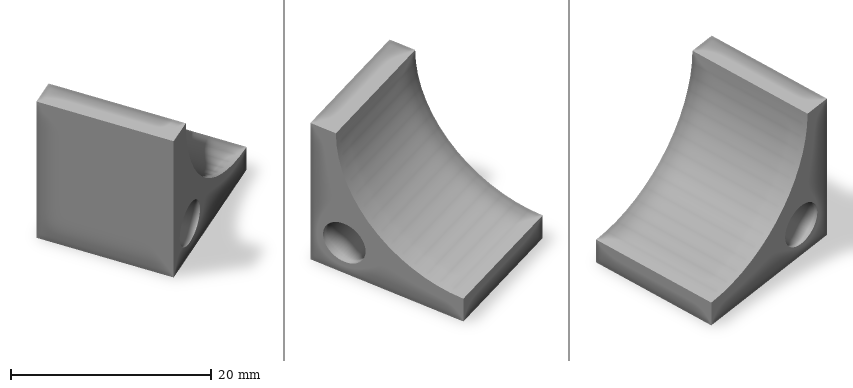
import cadquery as cq
import math

side = 18.0
width = 15.0
wall = 3.0
hole_diameter = 5.0
hole_inset = 4.0

cove_radius = side - wall
cove_middle = side - cove_radius * math.sqrt(0.5)

body = (
    cq.Workplane("YZ")
    .moveTo(0, 0)
    .lineTo(side, 0)
    .lineTo(side, wall)
    .threePointArc((cove_middle, cove_middle), (wall, side))
    .lineTo(0, side)
    .close()
    .extrude(width)
)

hole = (
    cq.Workplane("YZ")
    .center(hole_inset, hole_inset)
    .circle(hole_diameter / 2)
    .extrude(width)
)

result = body.cut(hole)